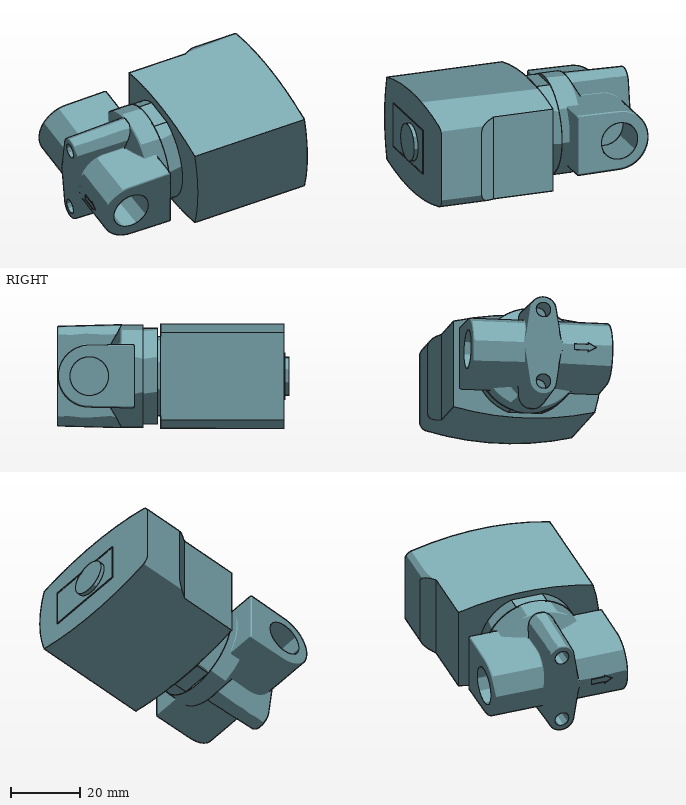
import cadquery as cq
import math


SELECTION_MARGIN = 0.35

CUP_FRONT = 18.5
CUP_BACK = 24.85
NUT_BACK = 29.05
COIL_FRONT = 29.95
COIL_BACK = 65.65
PLATE_BACK = 65.9
STUB_BACK = 67.1

CUP_DIAMETER = 29.7
CONE_FRONT = 14.0
CONE_FRONT_DIAMETER = 16.25
CUP_RIM_FILLET = 0.55
BLOCK_HALF_LENGTH = 20.6
BLOCK_RADIUS = 9.0
BLOCK_FRONT = 0.3
BLOCK_BACK = 22.3
BLOCK_DRAFT = 1.0
PORT_DIAMETER = 11.2
PORT_DEPTH = 12.1
PORT_Y = BLOCK_FRONT + BLOCK_RADIUS
BODY_EDGE_FILLET = 0.55
INNER_FILLET = 0.3

FLANGE_END_DIAMETER = 8.65
FLANGE_HALF_WIDTH = 6.05
FLANGE_DRAFT = 1.5
FLANGE_SIDE_ROUND = 8.05
FLANGE_EDGE_FILLET = 0.5
BOLT_Z = 10.6
BOLT_HOLE_DIAMETER = 4.2
BOLT_HOLE_DEPTH = 8.05

ARROW_TAIL_X = 9.2
ARROW_NECK_X = 13.2
ARROW_TIP_X = 15.65
ARROW_SHAFT_HALF = 0.9
ARROW_HEAD_HALF = 1.35
ARROW_FRONT = 0.15
ARROW_ROOT = 1.0

NUT_DIAMETER = 29.4
NUT_ACROSS_FLATS = 27.8
NECK_DIAMETER = 23.0

COIL_HEIGHT = 30.4
COIL_HALF_HEIGHT = COIL_HEIGHT / 2
COIL_CORNER_X = 20.8
COIL_CORNER_Z = 12.7
COIL_RIGHT = 22.7
PAD_LEFT = -24.0
PAD_STEP_Y = 48.3
PAD_SLOPE_BACK_Y = 53.2
PAD_FILLET = 2.7

PLATE_LEFT = -9.05
PLATE_RIGHT = 14.9
PLATE_HEIGHT = 13.4
STUB_DIAMETER = 11.1


def plane_at(y):
    """Workplane across the valve axis, whose extrusions run towards the front."""
    return cq.Workplane("XZ", origin=(0, y, 0))


def disc(diameter, front, back):
    return plane_at(back).circle(diameter / 2).extrude(back - front)


def port_block():
    """Block along X with a round front, widening slightly towards the back."""
    draft = math.radians(BLOCK_DRAFT)
    touch_y = PORT_Y - BLOCK_RADIUS * math.sin(draft)
    touch_z = BLOCK_RADIUS * math.cos(draft)
    back_z = touch_z + (BLOCK_BACK - touch_y) * math.tan(draft)
    block = (
        cq.Workplane("YZ", origin=(-BLOCK_HALF_LENGTH, 0, 0))
        .moveTo(BLOCK_BACK, -back_z)
        .lineTo(touch_y, -touch_z)
        .threePointArc((BLOCK_FRONT, 0), (touch_y, touch_z))
        .lineTo(BLOCK_BACK, back_z)
        .close()
        .extrude(2 * BLOCK_HALF_LENGTH)
    )
    return block.faces("<X or >X or >Y").edges().fillet(BODY_EDGE_FILLET)


def cup():
    """Round seat of the nut, running down to a cone on its front."""
    half_profile = [
        (0, CUP_BACK),
        (CUP_DIAMETER / 2, CUP_BACK),
        (CUP_DIAMETER / 2, CUP_FRONT),
        (CONE_FRONT_DIAMETER / 2, CONE_FRONT),
        (0, CONE_FRONT),
    ]
    turned = cq.Workplane("XY").polyline(half_profile).close().revolve(360, (0, 0, 0), (0, 1, 0))
    return turned.edges("%CIRCLE and (not >Y) and (not <Y)").fillet(CUP_RIM_FILLET)


def flange():
    """Lozenge with round ends about the bolt holes, narrowing towards the front."""
    end_radius = FLANGE_END_DIAMETER / 2
    corner_distance = math.hypot(FLANGE_HALF_WIDTH, BOLT_Z)
    corner_angle = math.atan2(-BOLT_Z, FLANGE_HALF_WIDTH)
    touch_angle = corner_angle + math.acos(end_radius / corner_distance)
    touch_x = end_radius * math.cos(touch_angle)
    touch_z = BOLT_Z + end_radius * math.sin(touch_angle)
    end_z = BOLT_Z + end_radius
    lozenge = (
        plane_at(CUP_FRONT)
        .moveTo(FLANGE_HALF_WIDTH, 0)
        .lineTo(touch_x, touch_z)
        .threePointArc((0, end_z), (-touch_x, touch_z))
        .lineTo(-FLANGE_HALF_WIDTH, 0)
        .lineTo(-touch_x, -touch_z)
        .threePointArc((0, -end_z), (touch_x, -touch_z))
        .close()
        .extrude(CUP_FRONT, taper=FLANGE_DRAFT)
    )
    side_corners = cq.selectors.BoxSelector(
        (-CUP_DIAMETER, 0, -SELECTION_MARGIN),
        (CUP_DIAMETER, CUP_BACK, SELECTION_MARGIN),
    )
    return lozenge.edges(side_corners).fillet(FLANGE_SIDE_ROUND)


def flow_arrow():
    upper_points = [
        (ARROW_TAIL_X, ARROW_SHAFT_HALF),
        (ARROW_NECK_X, ARROW_SHAFT_HALF),
        (ARROW_NECK_X, ARROW_HEAD_HALF),
        (ARROW_TIP_X, 0),
    ]
    lower_points = [(x, -z) for x, z in reversed(upper_points[:-1])]
    outline = upper_points + lower_points
    return plane_at(ARROW_ROOT).polyline(outline).close().extrude(ARROW_ROOT - ARROW_FRONT)


def blend_inner_corners(body):
    """Fillet the curved inner edges where the block meets the flange, the cone and the cup."""
    half_height = BLOCK_RADIUS + SELECTION_MARGIN
    cup_reach = CUP_DIAMETER / 2 + SELECTION_MARGIN
    beside_flange = cq.selectors.BoxSelector(
        (-FLANGE_HALF_WIDTH, BLOCK_FRONT, -half_height),
        (FLANGE_HALF_WIDTH, CUP_FRONT, half_height),
    )
    beside_cup = cq.selectors.BoxSelector(
        (-cup_reach, PORT_Y + SELECTION_MARGIN, -half_height),
        (cup_reach, BLOCK_BACK + SELECTION_MARGIN, half_height),
    )
    straight = cq.selectors.TypeSelector("LINE")
    return body.edges(beside_flange + beside_cup - straight).fillet(INNER_FILLET)


def build_valve_body():
    body = port_block().union(cup()).union(flange())
    body = blend_inner_corners(body)
    body = body.faces("<Y").edges().fillet(FLANGE_EDGE_FILLET)
    body = body.union(flow_arrow())
    port = (
        cq.Workplane("YZ", origin=(-BLOCK_HALF_LENGTH, PORT_Y, 0))
        .circle(PORT_DIAMETER / 2)
        .extrude(PORT_DEPTH)
    )
    ports = port.union(port.mirror("YZ"))
    bolt_holes = (
        plane_at(BOLT_HOLE_DEPTH)
        .pushPoints([(0, BOLT_Z), (0, -BOLT_Z)])
        .circle(BOLT_HOLE_DIAMETER / 2)
        .extrude(BOLT_HOLE_DEPTH)
    )
    return body.cut(ports).cut(bolt_holes)


def build_nut():
    flats = cq.Workplane("XY").box(NUT_DIAMETER, 2 * NUT_BACK, NUT_ACROSS_FLATS)
    return disc(NUT_DIAMETER, CUP_BACK, NUT_BACK).intersect(flats)


def build_coil_housing():
    bow_drop = COIL_HALF_HEIGHT - COIL_CORNER_Z
    bow_radius = (COIL_CORNER_X**2 + bow_drop**2) / (2 * bow_drop)
    bow_centre_z = COIL_HALF_HEIGHT - bow_radius
    pad_corner_z = bow_centre_z + math.sqrt(bow_radius**2 - PAD_LEFT**2)
    housing = (
        plane_at(COIL_BACK)
        .moveTo(PAD_LEFT, pad_corner_z)
        .threePointArc((0, COIL_HALF_HEIGHT), (COIL_CORNER_X, COIL_CORNER_Z))
        .threePointArc((COIL_RIGHT, 0), (COIL_CORNER_X, -COIL_CORNER_Z))
        .threePointArc((0, -COIL_HALF_HEIGHT), (PAD_LEFT, -pad_corner_z))
        .close()
        .extrude(COIL_BACK - COIL_FRONT)
    )
    housing = housing.faces("<X").edges("|Y").fillet(PAD_FILLET)
    relief = (
        cq.Workplane("XY", origin=(0, 0, -COIL_HALF_HEIGHT))
        .moveTo(-COIL_CORNER_X, COIL_FRONT)
        .lineTo(-COIL_CORNER_X, PAD_STEP_Y)
        .lineTo(PAD_LEFT, PAD_SLOPE_BACK_Y)
        .lineTo(PAD_LEFT, COIL_FRONT)
        .close()
        .extrude(COIL_HEIGHT)
    )
    return housing.cut(relief)


def build_back_plate():
    return (
        plane_at(PLATE_BACK)
        .center((PLATE_LEFT + PLATE_RIGHT) / 2, 0)
        .rect(PLATE_RIGHT - PLATE_LEFT, PLATE_HEIGHT)
        .extrude(PLATE_BACK - COIL_BACK)
    )


valve_body = build_valve_body()
nut = build_nut()
neck = disc(NECK_DIAMETER, NUT_BACK, COIL_FRONT)
coil_housing = build_coil_housing()
back_plate = build_back_plate()
tube_stub = disc(STUB_DIAMETER, PLATE_BACK, STUB_BACK)

result = cq.Compound.makeCompound(
    [
        valve_body.val(),
        nut.val(),
        neck.val(),
        coil_housing.val(),
        back_plate.val(),
        tube_stub.val(),
    ]
)